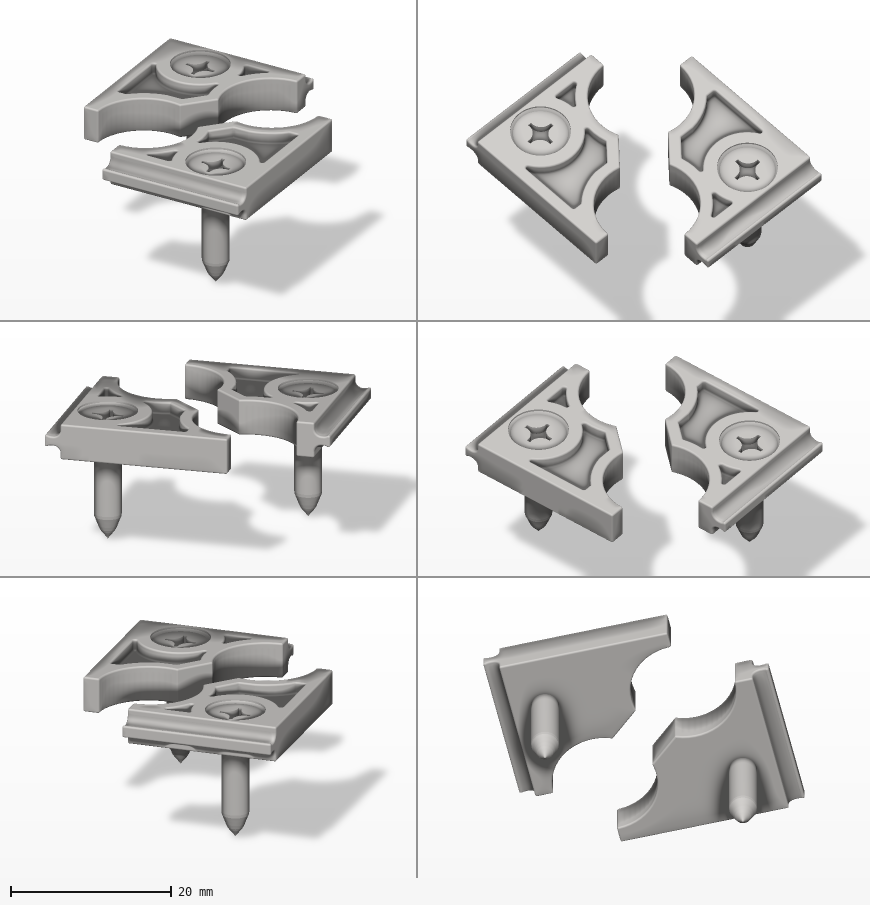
import cadquery as cq
import math

overall_x = 28.6
overall_y = 34.5
bracket_count = 2

rail_length = 19.65
bracket_length = 23.65
thickness = 4.62
edge_round = 0.24

bite_radius = 6.55
leg_width = 2.15
side_bite_center = (leg_width + bite_radius, -23.57)
rail_bite_center = (rail_length, -10.92)
nose_upper_y = -13.4
nose_lower_x = 10.22

rail_depth = 2.05
lip_half_height = 0.76
neck_half_height = 0.6
groove_radius = 0.95
groove_flat = 0.25

pocket_margin = 1.6
pocket_arc_radius = bite_radius + pocket_margin
pocket_depth = 1.5
pocket_end_y = -17.86
pocket_ledge_x = 7.5
pocket_corner_round = 0.27
screw_land_radius = 5.55

screw_center = (6.86, -6.33)
dish_radius = 3.8
dish_floor_radius = 3.45
dish_wall_depth = 0.25
dish_cone_depth = 0.28
cross_half_length = 2.0
cross_half_width = 0.25
cross_arc_radius = 1.5
cross_depth = 1.0
cross_arms = 4

nail_radius = 1.75
nail_length = 12.28
point_rings = [(1.7, 0.4), (1.5, 0.87), (1.22, 1.6), (1.0, 2.1), (0.8, 2.4), (0.3, 3.0), (0, 3.4)]


def circle_point_at_x(center, radius, x, side):
    """Point of a circle at a given x, on its upper (side = 1) or lower (side = -1) half."""
    return (x, center[1] + side * math.sqrt(radius**2 - (x - center[0]) ** 2))


def circle_point_at_y(center, radius, y, side):
    """Point of a circle at a given y, on its right (side = 1) or left (side = -1) half."""
    return (center[0] + side * math.sqrt(radius**2 - (y - center[1]) ** 2), y)


def circle_crossing(center_a, radius_a, center_b, radius_b, side):
    """Point where two circles cross, left (side = 1) or right (side = -1) of the line from a to b."""
    gap = math.dist(center_a, center_b)
    ux = (center_b[0] - center_a[0]) / gap
    uy = (center_b[1] - center_a[1]) / gap
    along = (gap**2 + radius_a**2 - radius_b**2) / (2 * gap)
    across = side * math.sqrt(radius_a**2 - along**2)
    return (center_a[0] + along * ux - across * uy, center_a[1] + along * uy + across * ux)


def arc_middle(center, start, end):
    """Point halfway along the shorter arc between two points of a circle."""
    radius = math.dist(center, start)
    dx = start[0] + end[0] - 2 * center[0]
    dy = start[1] + end[1] - 2 * center[1]
    size = math.hypot(dx, dy)
    return (center[0] + radius * dx / size, center[1] + radius * dy / size)


nose_upper = circle_point_at_y(rail_bite_center, bite_radius, nose_upper_y, -1)
nose_lower = circle_point_at_x(side_bite_center, bite_radius, nose_lower_x, 1)


def make_rail_half():
    """Upper half of the plate-and-rail section, extruded along the rail, with mid-height at Z = 0."""
    groove_y = -rail_depth + groove_radius
    groove_z = neck_half_height + groove_radius
    lip_center = (groove_y + groove_flat, groove_z)
    plate_center = (groove_y, groove_z)
    lip_edge = circle_point_at_y(lip_center, groove_radius, lip_half_height, 1)
    lip_foot = (lip_center[0], neck_half_height)
    plate_foot = (groove_y, neck_half_height)
    plate_edge = (-rail_depth, groove_z)
    return (
        cq.Workplane("YZ")
        .moveTo(0, 0)
        .lineTo(0, lip_half_height)
        .lineTo(*lip_edge)
        .threePointArc(arc_middle(lip_center, lip_edge, lip_foot), lip_foot)
        .lineTo(*plate_foot)
        .threePointArc(arc_middle(plate_center, plate_foot, plate_edge), plate_edge)
        .lineTo(-rail_depth, thickness / 2)
        .lineTo(-bracket_length, thickness / 2)
        .lineTo(-bracket_length, 0)
        .close()
        .extrude(rail_length)
    )


def make_plate():
    """Plate with its rail and all its outer edges rounded."""
    rail_bite_end = circle_point_at_x(rail_bite_center, bite_radius, rail_length, 1)
    side_bite_end = circle_point_at_y(side_bite_center, bite_radius, -bracket_length, -1)
    outline = (
        cq.Workplane("XY")
        .moveTo(0, 0)
        .lineTo(rail_length, 0)
        .lineTo(*rail_bite_end)
        .threePointArc(arc_middle(rail_bite_center, rail_bite_end, nose_upper), nose_upper)
        .lineTo(*nose_lower)
        .threePointArc(arc_middle(side_bite_center, nose_lower, side_bite_end), side_bite_end)
        .lineTo(0, -bracket_length)
        .close()
        .extrude(thickness)
    )
    rail_half = make_rail_half()
    section = rail_half.union(rail_half.mirror("XY")).clean()
    plate = outline.intersect(section.translate((0, 0, thickness / 2)))

    nose_x = (nose_upper[0] + nose_lower[0]) / 2
    nose_y = (nose_upper[1] + nose_lower[1]) / 2
    nose_face = plate.faces(cq.NearestToPointSelector((nose_x, nose_y, thickness / 2)))
    outer_faces = plate.faces("<X or >X or <Y or >Y or <Z or >Z")
    return outer_faces.edges().add(nose_face.edges("|Z")).fillet(edge_round)


def inset_nose_corners(ledge_y):
    """Ends of the pocket wall along the nose: on the rail bite's offset arc and at the ledge's y."""
    slant = math.dist(nose_upper, nose_lower)
    ux = (nose_upper[0] - nose_lower[0]) / slant
    uy = (nose_upper[1] - nose_lower[1]) / slant
    wall_x = nose_lower[0] - pocket_margin * uy
    wall_y = nose_lower[1] + pocket_margin * ux
    to_bite_x = rail_bite_center[0] - wall_x
    to_bite_y = rail_bite_center[1] - wall_y
    along = to_bite_x * ux + to_bite_y * uy
    across = to_bite_x * uy - to_bite_y * ux
    upper_reach = along - math.sqrt(pocket_arc_radius**2 - across**2)
    lower_reach = (ledge_y - wall_y) / uy
    upper_corner = (wall_x + upper_reach * ux, wall_y + upper_reach * uy)
    lower_corner = (wall_x + lower_reach * ux, ledge_y)
    return upper_corner, lower_corner


def main_pocket_outline():
    """Large pocket between the screw, the outer side, the nose and the side bite."""
    screw_left = circle_point_at_x(screw_center, screw_land_radius, pocket_margin, -1)
    screw_right = circle_crossing(
        screw_center, screw_land_radius, rail_bite_center, pocket_arc_radius, -1
    )
    ledge = circle_point_at_x(side_bite_center, pocket_arc_radius, pocket_ledge_x, 1)
    nose_top, nose_bottom = inset_nose_corners(ledge[1])
    leg_corner = circle_point_at_y(side_bite_center, pocket_arc_radius, pocket_end_y, -1)
    return (
        cq.Workplane("XY")
        .moveTo(pocket_margin, pocket_end_y)
        .lineTo(*screw_left)
        .threePointArc(arc_middle(screw_center, screw_left, screw_right), screw_right)
        .threePointArc(arc_middle(rail_bite_center, screw_right, nose_top), nose_top)
        .lineTo(*nose_bottom)
        .lineTo(*ledge)
        .threePointArc(arc_middle(side_bite_center, ledge, leg_corner), leg_corner)
        .close()
    )


def small_pocket_outline():
    """Triangular pocket between the screw, the rail and the rail bite."""
    top_y = -rail_depth - pocket_margin
    screw_corner = circle_point_at_y(screw_center, screw_land_radius, top_y, 1)
    bite_corner = circle_point_at_y(rail_bite_center, pocket_arc_radius, top_y, -1)
    tip = circle_crossing(screw_center, screw_land_radius, rail_bite_center, pocket_arc_radius, 1)
    return (
        cq.Workplane("XY")
        .moveTo(*screw_corner)
        .lineTo(*bite_corner)
        .threePointArc(arc_middle(rail_bite_center, bite_corner, tip), tip)
        .threePointArc(arc_middle(screw_center, tip, screw_corner), screw_corner)
        .close()
    )


def make_pocket(outline):
    """Cutter for a pocket with rounded corners and a rounded floor edge."""
    cutter = outline.extrude(pocket_depth).edges("|Z").fillet(pocket_corner_round)
    cutter = cutter.faces("<Z").edges().fillet(edge_round)
    return cutter.translate((0, 0, thickness - pocket_depth))


def cut_pockets(plate):
    """Cut both pockets and round their rims."""
    for outline in (main_pocket_outline(), small_pocket_outline()):
        plate = plate.cut(make_pocket(outline))
    rims = plate.faces(">Z").val().innerWires()
    rim_edges = [edge for rim in rims for edge in rim.Edges()]
    return plate.newObject(rim_edges).fillet(edge_round)


def make_nail():
    """Round shank with a pointed end, rooted at the plate's mid-height."""
    point_length = point_rings[-1][1]
    shank_end = point_length - nail_length
    return (
        cq.Workplane("XZ")
        .moveTo(0, thickness / 2)
        .lineTo(nail_radius, thickness / 2)
        .lineTo(nail_radius, shank_end)
        .polyline([(radius, shank_end - drop) for radius, drop in point_rings], includeCurrent=True)
        .close()
        .revolve()
        .translate(screw_center)
    )


def make_dish():
    """Cutter for the shallow dish of the screw head."""
    wall_bottom = thickness - dish_wall_depth
    dish_floor = wall_bottom - dish_cone_depth
    return (
        cq.Workplane("XZ")
        .moveTo(0, thickness)
        .lineTo(dish_radius, thickness)
        .lineTo(dish_radius, wall_bottom)
        .lineTo(dish_floor_radius, dish_floor)
        .lineTo(0, dish_floor)
        .close()
        .revolve()
        .translate(screw_center)
    )


def make_cross():
    """Cutter for the four-pointed driver recess, from the dish floor down."""
    arc_center = cross_half_width + cross_arc_radius
    arc_near = arc_center - cross_arc_radius / math.sqrt(2)

    def turned(x, y, arm):
        angle = arm * 2 * math.pi / cross_arms
        cosine = math.cos(angle)
        sine = math.sin(angle)
        return (cosine * x - sine * y, sine * x + cosine * y)

    cross = cq.Workplane("XY").moveTo(cross_half_length, -cross_half_width)
    for arm in range(cross_arms):
        arc_end = turned(cross_half_width, arc_center, arm)
        cross = (
            cross.lineTo(*turned(cross_half_length, cross_half_width, arm))
            .lineTo(*turned(arc_center, cross_half_width, arm))
            .threePointArc(turned(arc_near, arc_near, arm), arc_end)
        )
        if arm < cross_arms - 1:
            cross = cross.lineTo(*turned(cross_half_width, cross_half_length, arm))
    floor_z = thickness - dish_wall_depth - dish_cone_depth - cross_depth
    return cross.close().extrude(cross_depth).translate((*screw_center, floor_z))


def make_bracket():
    """One bracket with its nail, placed in the left rear corner of the pair."""
    bracket = cut_pockets(make_plate())
    bracket = bracket.union(make_nail()).cut(make_dish()).cut(make_cross())
    return bracket.translate((-overall_x / 2, overall_y / 2, 0))


bracket = make_bracket()
half_turns = [turn * 360 / bracket_count for turn in range(bracket_count)]
brackets = [bracket.rotate((0, 0, 0), (0, 0, 1), angle) for angle in half_turns]
result = cq.Compound.makeCompound([placed.val() for placed in brackets])